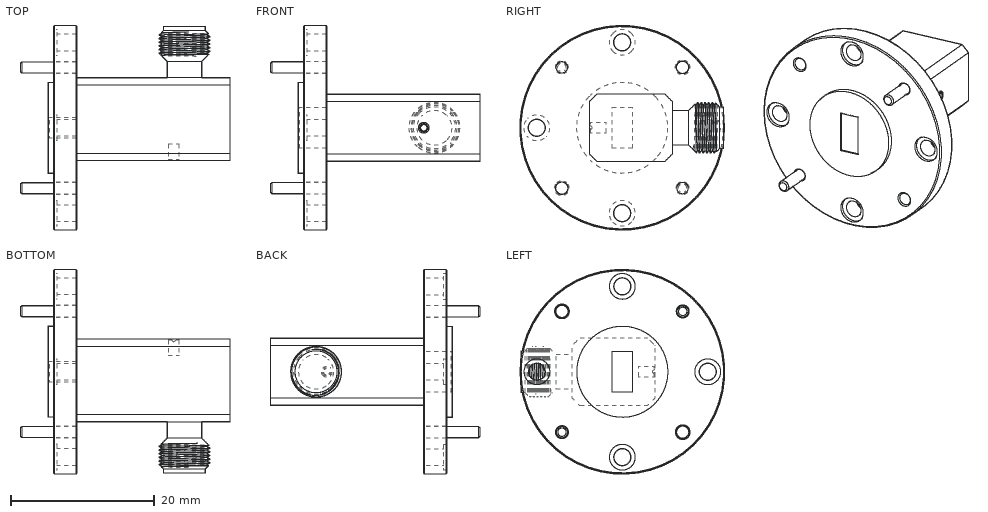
import cadquery as cq
import math


OVERALL_LENGTH = 29.27

FLANGE_DIAMETER = 28.57
FLANGE_THICKNESS = 3.3
FLANGE_CHAMFER = 0.18
BOSS_DIAMETER = 12.7
BOSS_HEIGHT = 0.75

BOLT_CIRCLE_RADIUS = 11.9
BOLT_HOLE_DIAMETER = 2.35
COUNTERBORE_DIAMETER = 3.6
COUNTERBORE_DEPTH = 0.47
DOWEL_HOLE_DIAMETER = 1.7
DOWEL_HOLE_CHAMFER = 0.18

PIN_DIAMETER = 1.58
PIN_PROTRUSION = 4.62
PIN_CHAMFER = 0.2
PIN_HOLE_CHAMFER = 0.12

APERTURE_WIDTH = 2.87
APERTURE_HEIGHT = 5.68
WINDOW_RECESS = 0.23

BLOCK_LENGTH = OVERALL_LENGTH - PIN_PROTRUSION - FLANGE_THICKNESS
BLOCK_HEIGHT = 9.37
BLOCK_FRONT_Y = -4.57
BLOCK_BACK_Y = 7.0
BLOCK_CHAMFER = 1.02
BLOCK_END_X = FLANGE_THICKNESS + BLOCK_LENGTH

CONNECTOR_X = BLOCK_END_X - 6.38
CONNECTOR_LENGTH = 7.17
SHANK_RADIUS = 2.43
SHANK_LENGTH = 2.28
NECK_RADIUS = 2.93
NECK_LENGTH = 0.6
THREAD_RADIUS = 3.55
THREAD_DEPTH = 0.4
THREAD_CREST = 0.05
THREAD_TURNS = 8.4
THREAD_START_ANGLE = -80

SCREW_X = BLOCK_END_X - 7.87
SCREW_DIAMETER = 1.5
SCREW_LENGTH = 2.35
SCREW_CHAMFER = 0.18
SCREW_DIMPLE_DIAMETER = 0.88


def polar_places(first_angle, step, count):
    """Y, Z places on the bolt circle."""
    angles = [math.radians(first_angle + step * i) for i in range(count)]
    return [(BOLT_CIRCLE_RADIUS * math.cos(a), BOLT_CIRCLE_RADIUS * math.sin(a)) for a in angles]


BOLT_PLACES = polar_places(0, 90, 4)
OPEN_DOWEL_PLACES = polar_places(45, 180, 2)
PIN_PLACES = polar_places(135, 180, 2)


def cylinder_along_x(places, diameter, start_x, end_x):
    plane = cq.Workplane("YZ", origin=(start_x, 0, 0))
    return plane.pushPoints(places).circle(diameter / 2).extrude(end_x - start_x)


def chamfered_holes(places, diameter, chamfer):
    """Cutter for through holes in the flange with a countersunk front rim."""
    holes = cylinder_along_x(places, diameter, 0, FLANGE_THICKNESS)
    for y, z in places:
        rim = cq.Solid.makeCone(
            diameter / 2 + chamfer, diameter / 2, chamfer, cq.Vector(0, y, z), cq.Vector(1, 0, 0)
        )
        holes = holes.union(cq.Workplane(rim))
    return holes


def make_screw():
    """Set screw flush with the block, its outer end chamfered and dimpled by a 90 degree cone."""
    dimple_radius = SCREW_DIMPLE_DIAMETER / 2
    outline = (
        cq.Workplane("XY")
        .moveTo(0, dimple_radius)
        .lineTo(dimple_radius, 0)
        .lineTo(SCREW_DIAMETER / 2 - SCREW_CHAMFER, 0)
        .lineTo(SCREW_DIAMETER / 2, SCREW_CHAMFER)
        .lineTo(SCREW_DIAMETER / 2, SCREW_LENGTH)
        .lineTo(0, SCREW_LENGTH)
        .close()
    )
    screw = outline.revolve(360, (0, 0, 0), (0, 1, 0))
    return screw.translate((SCREW_X, BLOCK_FRONT_Y, 0))


def make_housing():
    """Flange with its boss and the block, bored for the other bodies."""
    flange = cylinder_along_x([(0, 0)], FLANGE_DIAMETER, 0, FLANGE_THICKNESS)
    flange = flange.faces("<X or >X").chamfer(FLANGE_CHAMFER)
    boss = cylinder_along_x([(0, 0)], BOSS_DIAMETER, -BOSS_HEIGHT, 0)
    block = (
        cq.Workplane("YZ", origin=(FLANGE_THICKNESS, 0, 0))
        .center((BLOCK_FRONT_Y + BLOCK_BACK_Y) / 2, 0)
        .rect(BLOCK_BACK_Y - BLOCK_FRONT_Y, BLOCK_HEIGHT)
        .extrude(BLOCK_LENGTH)
        .edges("|X")
        .chamfer(BLOCK_CHAMFER)
    )
    bolt_holes = cylinder_along_x(BOLT_PLACES, BOLT_HOLE_DIAMETER, 0, FLANGE_THICKNESS)
    counterbores = cylinder_along_x(BOLT_PLACES, COUNTERBORE_DIAMETER, 0, COUNTERBORE_DEPTH)
    dowel_holes = chamfered_holes(OPEN_DOWEL_PLACES, DOWEL_HOLE_DIAMETER, DOWEL_HOLE_CHAMFER)
    pin_holes = chamfered_holes(PIN_PLACES, PIN_DIAMETER, PIN_HOLE_CHAMFER)
    aperture = (
        cq.Workplane("YZ", origin=(-BOSS_HEIGHT, 0, 0))
        .rect(APERTURE_WIDTH, APERTURE_HEIGHT)
        .extrude(BOSS_HEIGHT + FLANGE_THICKNESS)
    )
    screw_hole = (
        cq.Workplane("XZ", origin=(SCREW_X, BLOCK_FRONT_Y, 0))
        .circle(SCREW_DIAMETER / 2)
        .extrude(-SCREW_LENGTH)
    )
    housing = flange.union(boss).union(block)
    for cutter in (bolt_holes, counterbores, dowel_holes, pin_holes, aperture, screw_hole):
        housing = housing.cut(cutter)
    return housing


def make_window():
    """Window that fills the waveguide aperture, set back from the boss face."""
    front_x = -BOSS_HEIGHT + WINDOW_RECESS
    plane = cq.Workplane("YZ", origin=(front_x, 0, 0))
    return plane.rect(APERTURE_WIDTH, APERTURE_HEIGHT).extrude(FLANGE_THICKNESS - front_x)


def make_pin(place):
    pin = cylinder_along_x([place], PIN_DIAMETER, -PIN_PROTRUSION, FLANGE_THICKNESS)
    return pin.faces("<X").chamfer(PIN_CHAMFER)


def make_threaded_rod():
    """Rod along Z with a right-hand V groove that starts and ends beyond the connector shoulders."""
    shoulders_span = CONNECTOR_LENGTH - NECK_LENGTH - SHANK_LENGTH
    pitch = shoulders_span / THREAD_TURNS
    root_radius = THREAD_RADIUS - THREAD_DEPTH
    mouth_radius = THREAD_RADIUS + THREAD_CREST / 2
    flank_slope = (pitch - THREAD_CREST) / 2 / THREAD_DEPTH
    half_mouth = flank_slope * (mouth_radius - root_radius)
    helix = cq.Wire.makeHelix(pitch, shoulders_span, root_radius)
    groove = (
        cq.Workplane("XZ")
        .moveTo(root_radius, 0)
        .lineTo(mouth_radius, half_mouth)
        .lineTo(mouth_radius, -half_mouth)
        .close()
        .sweep(cq.Workplane(helix), isFrenet=True)
        .rotate((0, 0, 0), (0, 0, 1), THREAD_START_ANGLE)
        .translate((0, 0, SHANK_LENGTH))
    )
    return cq.Workplane("XY").circle(THREAD_RADIUS).extrude(CONNECTOR_LENGTH).cut(groove)


def make_connector():
    """Threaded rod turned down to a shank and a neck, with a 45 degree shoulder at each."""
    neck_start = CONNECTOR_LENGTH - NECK_LENGTH
    shoulder_radius = THREAD_RADIUS + THREAD_DEPTH / 2
    turned_shape = (
        cq.Workplane("XZ")
        .lineTo(SHANK_RADIUS, 0)
        .lineTo(SHANK_RADIUS, SHANK_LENGTH)
        .lineTo(shoulder_radius, SHANK_LENGTH + shoulder_radius - SHANK_RADIUS)
        .lineTo(shoulder_radius, neck_start - (shoulder_radius - NECK_RADIUS))
        .lineTo(NECK_RADIUS, neck_start)
        .lineTo(NECK_RADIUS, CONNECTOR_LENGTH)
        .lineTo(0, CONNECTOR_LENGTH)
        .close()
        .revolve(360, (0, 0, 0), (0, 1, 0))
    )
    connector = turned_shape.intersect(make_threaded_rod())
    return connector.rotate((0, 0, 0), (1, 0, 0), -90).translate((CONNECTOR_X, BLOCK_BACK_Y, 0))


housing = make_housing()
window = make_window()
pins = [make_pin(place) for place in PIN_PLACES]
connector = make_connector()
screw = make_screw()

result = cq.Compound.makeCompound(
    [body.solids().val() for body in (housing, window, *pins, connector, screw)]
)